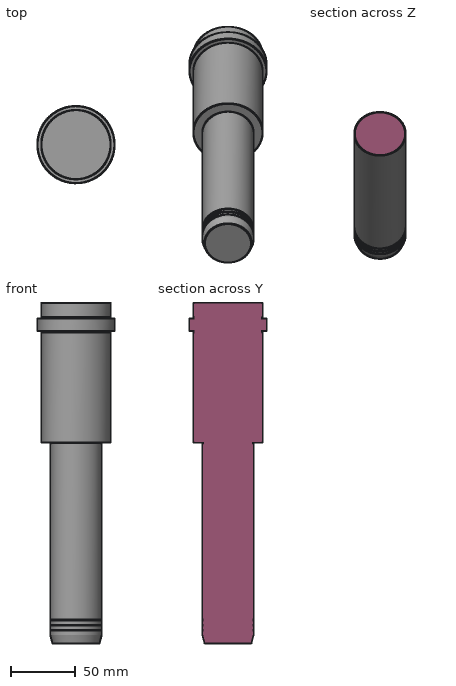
import cadquery as cq
import math

total_length = 263.0
flange_diameter = 60.0
body_diameter = 54.0
pin_diameter = 40.0

head_length = 12.0
flange_thickness = 10.0
body_length = 108.0

edge_chamfer = 0.5

relief_width = 0.5
relief_depth = 0.5

tip_length = 6.8
tip_angle = 15.0

groove_count = 3
groove_width = 0.8
groove_depth = 0.3
groove_pitch = 4.0

flange_top = total_length - head_length
flange_bottom = flange_top - flange_thickness
body_bottom = total_length - body_length
pin_radius = pin_diameter / 2
tip_radius = pin_radius - tip_length * math.tan(math.radians(tip_angle))


def cylinder(diameter, bottom, top):
    """Cylinder on the Z axis between two heights."""
    return cq.Workplane("XY").workplane(offset=bottom).circle(diameter / 2).extrude(top - bottom)


def chamfered_cylinder(diameter, bottom, top):
    """Cylinder on the Z axis with both rims chamfered."""
    return cylinder(diameter, bottom, top).faces("<Z or >Z").edges().chamfer(edge_chamfer)


def ring(diameter, depth, bottom, top):
    """Ring of the given depth just inside a cylindrical surface."""
    return cylinder(diameter, bottom, top).cut(cylinder(diameter - 2 * depth, bottom, top))


def tapered_pin():
    """Long pin with a tapered lower end, reaching up to the body."""
    profile = (
        cq.Workplane("XZ")
        .lineTo(tip_radius, 0)
        .lineTo(pin_radius, tip_length)
        .lineTo(pin_radius, body_bottom)
        .lineTo(0, body_bottom)
        .close()
    )
    return profile.revolve(360, (0, 0), (0, 1)).faces("<Z").edges().chamfer(edge_chamfer)


head = chamfered_cylinder(body_diameter, flange_top + relief_width, total_length)
flange = chamfered_cylinder(flange_diameter, flange_bottom, flange_top)
body = chamfered_cylinder(body_diameter, body_bottom, flange_bottom - relief_width)
neck = cylinder(
    body_diameter - 2 * relief_depth,
    flange_bottom - relief_width,
    flange_top + relief_width,
)

result = tapered_pin().union(body).union(neck).union(flange).union(head)

result = result.cut(ring(pin_diameter, relief_depth, body_bottom - relief_width, body_bottom))

for index in range(groove_count):
    groove_top = tip_length + (index + 1) * groove_pitch
    result = result.cut(ring(pin_diameter, groove_depth, groove_top - groove_width, groove_top))